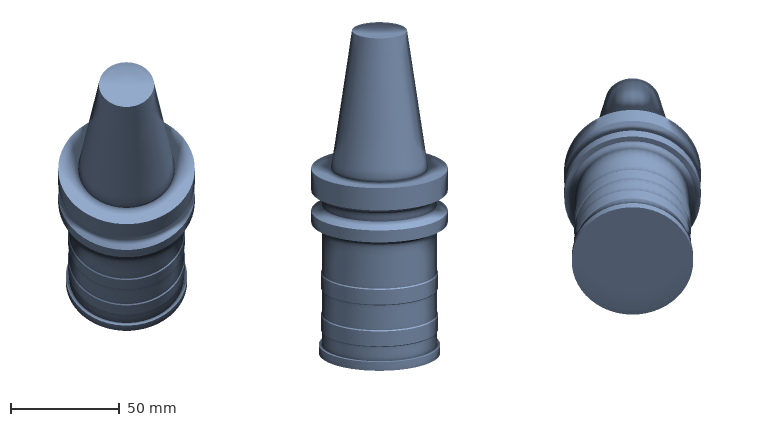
import cadquery as cq

total_height = 155.4
foot_diameter = 56.0
body_diameter = 53.0
band_diameter = 54.0
flange_diameter = 63.0
flange_bevel_diameter = 58.0
taper_base_diameter = 44.5

taper_ratio = 7 / 24

foot_height = 4.2
band_bottoms = [11.0, 31.1]
band_width = 8.1
flange_bottom = 63.0
flange_top = 89.0
taper_base_height = 90.0

groove_bottom = 68.7
groove_top = 78.3
groove_side_height = 2.8

body_radius = body_diameter / 2
flange_radius = flange_diameter / 2
flange_bevel_radius = flange_bevel_diameter / 2
flange_bevel_height = flange_bevel_radius - body_radius
band_bevel = (band_diameter - body_diameter) / 2
taper_base_radius = taper_base_diameter / 2
taper_length = total_height - taper_base_height
taper_tip_radius = taper_base_radius - taper_ratio * taper_length / 2


def disc(diameter, bottom, top):
    """Upright cylinder on the Z axis between two heights."""
    return cq.Workplane("XY").workplane(offset=bottom).circle(diameter / 2).extrude(top - bottom)


def revolved(profile):
    """Solid of revolution about Z from (radius, height) points."""
    return cq.Workplane("XZ").polyline(profile).close().revolve(360, (0, 0, 0), (0, 1, 0))


def bevelled_band(bottom):
    """Raised band around the body with 45 degree edges."""
    return disc(band_diameter, bottom, bottom + band_width).edges().chamfer(band_bevel)


def flange():
    """Flange with a trapezoidal gripper groove and a bevel down to the body."""
    return revolved([
        (0, flange_bottom - flange_bevel_height),
        (body_radius, flange_bottom - flange_bevel_height),
        (flange_bevel_radius, flange_bottom),
        (flange_radius, flange_bottom),
        (flange_radius, groove_bottom),
        (body_radius, groove_bottom + groove_side_height),
        (body_radius, groove_top - groove_side_height),
        (flange_radius, groove_top),
        (flange_radius, flange_top),
        (0, flange_top),
    ])


def taper_shank():
    """Conical shank on a short cylindrical collar."""
    return revolved([
        (0, flange_top),
        (taper_base_radius, flange_top),
        (taper_base_radius, taper_base_height),
        (taper_tip_radius, total_height),
        (0, total_height),
    ])


result = disc(foot_diameter, 0, foot_height)
result = result.union(disc(body_diameter, foot_height, flange_bottom - flange_bevel_height))
for band_bottom in band_bottoms:
    result = result.union(bevelled_band(band_bottom))
result = result.union(flange()).union(taper_shank())